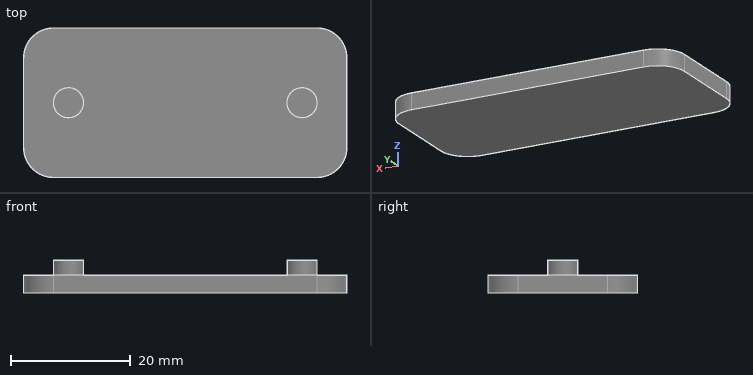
import cadquery as cq

plate_length = 54.0
plate_width = 25.0
plate_thickness = 3.0
corner_radius = 5.0

peg_diameter = 5.0
peg_height = 2.5
peg_spacing = 39.0

plate = (
    cq.Workplane("XY")
    .box(plate_length, plate_width, plate_thickness, centered=(True, True, False))
    .edges("|Z")
    .fillet(corner_radius)
)

pegs = (
    cq.Workplane("XY")
    .workplane(offset=plate_thickness)
    .pushPoints([(-peg_spacing / 2, 0), (peg_spacing / 2, 0)])
    .circle(peg_diameter / 2)
    .extrude(peg_height)
)

result = plate.union(pegs)